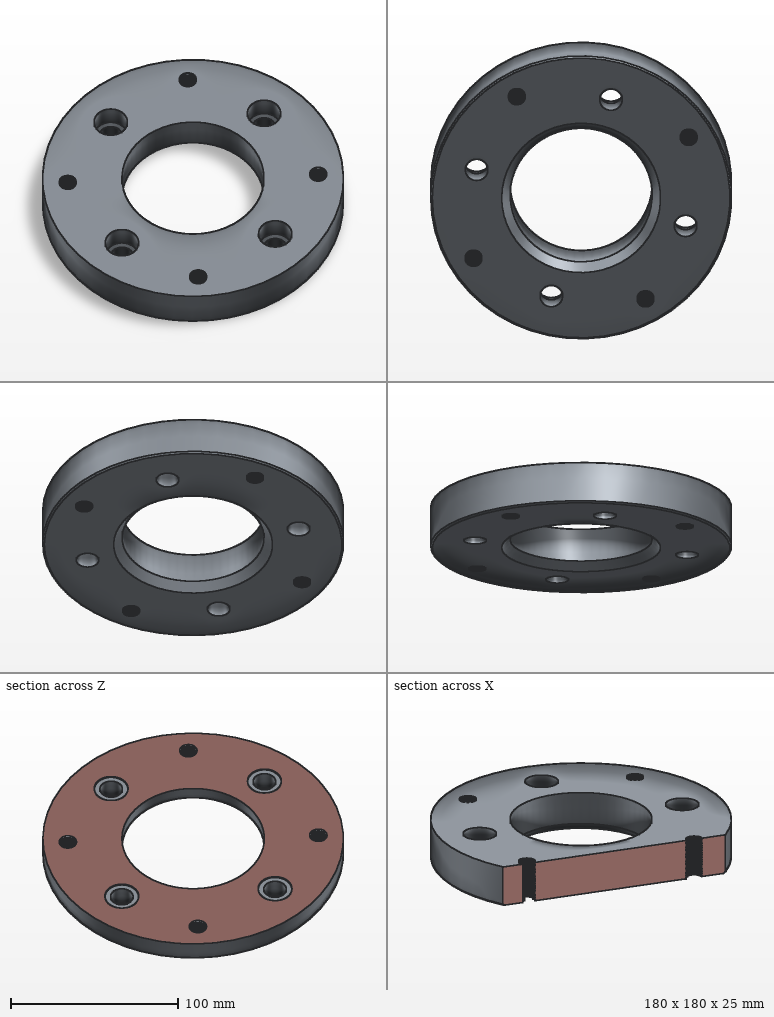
import cadquery as cq
import math

outer_diameter = 180.0
thickness = 25.0
bore_diameter = 85.0
rim_chamfer = 1.0
bore_chamfer = 5.0

holes_per_circle = 4

bolt_circle_diameter = 130.0
bolt_start_angle = 0.0
bolt_hole_diameter = 13.5
counterbore_diameter = 20.0
counterbore_depth = 13.0

thread_circle_diameter = 150.0
thread_start_angle = 43.2
thread_major_diameter = 10.0
thread_minor_diameter = 8.3
thread_pitch = 1.5
thread_lead_in = 0.5
thread_crest_flat = thread_pitch / 4
thread_root_flat = thread_pitch / 8
thread_flank_height = (thread_pitch - thread_crest_flat - thread_root_flat) / 2


def circle_points(diameter, start_angle):
    """Equally spaced hole centres on a circle around the plate axis."""
    points = []
    for index in range(holes_per_circle):
        angle = math.radians(start_angle + index * 360 / holes_per_circle)
        points.append((diameter / 2 * math.cos(angle), diameter / 2 * math.sin(angle)))
    return points


def make_plate():
    """Ring with a small chamfer on the lower rim and a large one on the lower bore edge."""
    ring = cq.Workplane("XY").circle(outer_diameter / 2).circle(bore_diameter / 2).extrude(thickness)
    ring = ring.faces("<Z").edges(cq.selectors.RadiusNthSelector(-1)).chamfer(rim_chamfer)
    return ring.faces("<Z").edges(cq.selectors.RadiusNthSelector(0)).chamfer(bore_chamfer)


def add_bolt_holes(plate):
    """Through holes counterbored from the top face."""
    return (
        plate.faces(">Z")
        .workplane(origin=(0, 0, thickness))
        .pushPoints(circle_points(bolt_circle_diameter, bolt_start_angle))
        .cboreHole(bolt_hole_diameter, counterbore_diameter, counterbore_depth)
    )


def make_thread_cutter():
    """Through hole whose thread is simplified to stacked ring grooves below a plain lead-in."""
    minor_radius = thread_minor_diameter / 2
    major_radius = thread_major_diameter / 2
    thread_top = thickness - thread_lead_in
    crest_count = math.floor(thread_top / thread_pitch)
    profile = [(0, 0), (0, thickness), (major_radius, thickness)]
    for crest in range(crest_count):
        upper_flank_start = thread_top - crest * thread_pitch
        crest_start = upper_flank_start - thread_flank_height
        crest_end = crest_start - thread_crest_flat
        lower_flank_end = crest_end - thread_flank_height
        profile += [
            (major_radius, upper_flank_start),
            (minor_radius, crest_start),
            (minor_radius, crest_end),
            (major_radius, lower_flank_end),
        ]
    profile.append((major_radius, 0))
    return cq.Workplane("XZ").polyline(profile).close().revolve(360, (0, 0, 0), (0, 1, 0))


def add_threaded_holes(plate):
    """Threaded through holes, turned slightly off the diagonals."""
    cutter = make_thread_cutter()
    for x, y in circle_points(thread_circle_diameter, thread_start_angle):
        plate = plate.cut(cutter.translate((x, y, 0)))
    return plate


result = add_threaded_holes(add_bolt_holes(make_plate()))